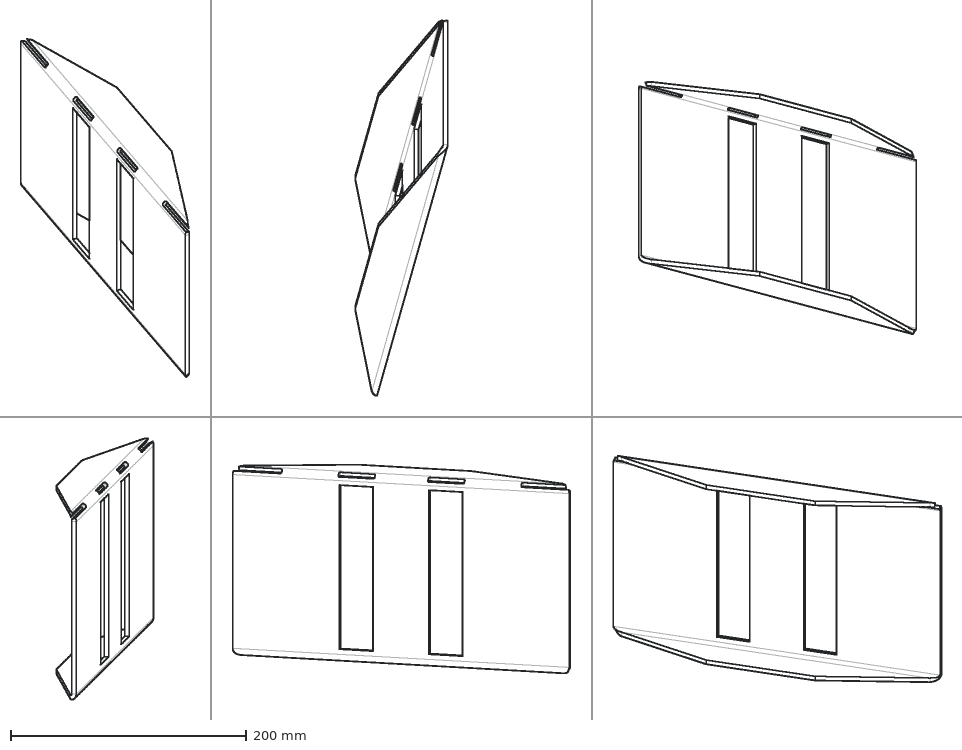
import cadquery as cq
import math

width = 300.0
depth = 40.0
height = 164.0
thickness = 4.0
bend_radius = 7.0

tip_width = 100.0
bend_inset = 8.5

window_width = 30.0
window_height = 142.0
feature_offset = 40.0
inner_slot_length = 32.5
end_slot_length = 43.2
slot_width = 4.8
slot_corner = 1.2

overshoot = 6.0
cutter_root = 1.5
curve_steps = 8


def channel():
    """C-shaped sheet: web at the front (y = 0), flanges running to the back."""
    outer = (
        cq.Workplane("XY")
        .box(width, depth, height, centered=(True, False, True))
        .edges("|X and <Y")
        .fillet(bend_radius)
    )
    inner = (
        cq.Workplane("XY")
        .box(width, depth, height - 2 * thickness, centered=(True, False, True))
        .translate((0, thickness, 0))
        .edges("|X and <Y")
        .fillet(bend_radius - thickness)
    )
    return outer.cut(inner)


def flange_corner():
    """Full-height prism that removes the taper at the +X end, behind the bends."""
    half = width / 2
    return (
        cq.Workplane("XY", origin=(0, 0, -height / 2))
        .polyline([
            (half - bend_inset, bend_radius),
            (half, bend_radius),
            (half, depth),
            (tip_width / 2, depth),
        ])
        .close()
        .extrude(height)
    )


def bend_end():
    """Cutter for the +X end of the upper bend.

    The inset grows with the square of the bend angle, and the cut wall is
    square to the sheet, so it is ruled along the radii of the bend.
    """
    fractions = [step / curve_steps for step in range(curve_steps + 1)]

    def end_curve(radius):
        points = []
        for fraction in fractions:
            angle = fraction * math.pi / 2
            points.append(cq.Vector(
                width / 2 - bend_inset * fraction ** 2,
                bend_radius - radius * math.cos(angle),
                height / 2 - bend_radius + radius * math.sin(angle),
            ))
        return cq.Edge.makeSpline(points, parameters=fractions)

    wall = cq.Face.makeRuledSurface(end_curve(cutter_root), end_curve(bend_radius + overshoot))
    solid = cq.Solid.extrudeLinear(wall, cq.Vector(bend_inset + overshoot, 0, 0))
    return cq.Workplane("XY").add(solid)


def window(x):
    """Rectangular opening through the web."""
    return cq.Workplane("XY").box(window_width, 2 * bend_radius, window_height).translate((x, 0, 0))


def bend_slot(x, length):
    """Rounded slot in the middle of the upper bend, with walls along the bend radii."""

    def section(radius):
        scale = radius / bend_radius
        return (
            cq.Sketch()
            .rect(length, slot_width * scale)
            .vertices()
            .fillet(slot_corner * scale)
        )

    outer_radius = bend_radius + overshoot
    cutter = (
        cq.Workplane("XY")
        .placeSketch(
            section(cutter_root).moved(cq.Location(cq.Vector(0, 0, cutter_root))),
            section(outer_radius).moved(cq.Location(cq.Vector(0, 0, outer_radius))),
        )
        .loft(ruled=True)
    )
    return (
        cutter.rotate((0, 0, 0), (1, 0, 0), 45)
        .translate((x, bend_radius, height / 2 - bend_radius))
    )


result = channel()

upper_end = bend_end()
for cutter in (upper_end, upper_end.mirror("XY"), flange_corner()):
    result = result.cut(cutter).cut(cutter.mirror("YZ"))

end_slot_offset = (width + overshoot - end_slot_length) / 2
for side in (-1, 1):
    result = result.cut(window(side * feature_offset))
    result = result.cut(bend_slot(side * feature_offset, inner_slot_length))
    result = result.cut(bend_slot(side * end_slot_offset, end_slot_length + overshoot))